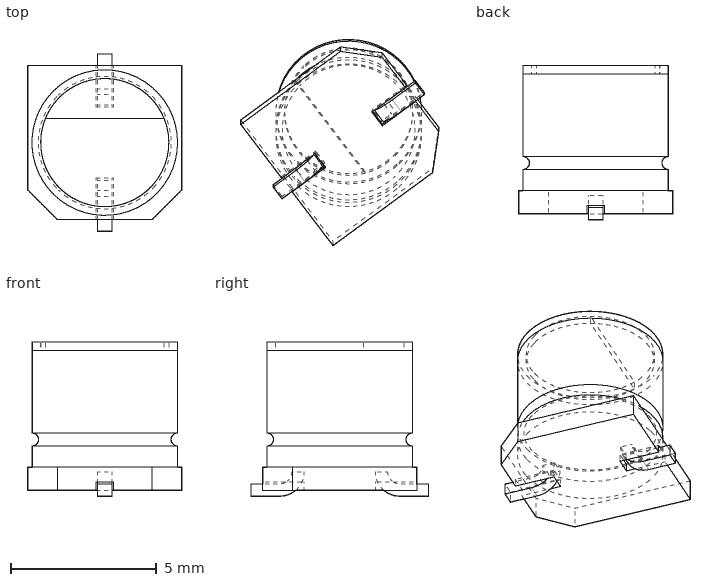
import cadquery as cq
import math

total_length = 6.1
total_height = 5.31

base_side = 5.3
base_bottom = 0.2
base_top = 1.0
corner_chamfer = 1.025

can_radius = 5.0 / 2
rim_height = 0.3
core_radius = 4.405 / 2
groove_radius = 0.22
groove_middle = 1.95

mark_edge = 0.825

lead_width = 0.51
lead_thickness = 0.43
foot_length = 0.99
bend_outer_radius = 0.84
bend_inner_radius = bend_outer_radius - lead_thickness

slot_width = 0.6
slot_top = 0.49

lead_end = total_length / 2
bend_start = lead_end - foot_length
bend_end = bend_start - bend_outer_radius
rim_bottom = total_height - rim_height
lead_angles = (0, 180)


def make_lead(angle):
    """Lead on the -Y side, turned about Z to its place."""
    diagonal = math.sqrt(0.5)
    outer_offset = bend_outer_radius * diagonal
    inner_offset = bend_inner_radius * diagonal
    return (
        cq.Workplane("YZ")
        .moveTo(-lead_end, 0)
        .lineTo(-bend_start, 0)
        .threePointArc(
            (-bend_start + outer_offset, bend_outer_radius - outer_offset),
            (-bend_end, bend_outer_radius),
        )
        .lineTo(-bend_end - lead_thickness, bend_outer_radius)
        .threePointArc(
            (-bend_start + inner_offset, bend_outer_radius - inner_offset),
            (-bend_start, lead_thickness),
        )
        .lineTo(-lead_end, lead_thickness)
        .close()
        .extrude(lead_width / 2, both=True)
        .rotate((0, 0, 0), (0, 0, 1), angle)
    )


def make_slot(angle):
    """Clearance around one lead, open to the side and underside of the base."""
    return (
        cq.Workplane("XY")
        .box(slot_width, lead_end - bend_end, slot_top, centered=(True, False, False))
        .translate((0, -lead_end, 0))
        .rotate((0, 0, 0), (0, 0, 1), angle)
    )


def make_base(leads):
    """Square plate with two cut corners, slotted and pocketed for the leads."""
    base = (
        cq.Workplane("XY")
        .workplane(offset=base_bottom)
        .rect(base_side, base_side)
        .extrude(base_top - base_bottom)
        .edges("|Z and <Y")
        .chamfer(corner_chamfer)
    )
    for angle in lead_angles:
        base = base.cut(make_slot(angle))
    for lead in leads:
        base = base.cut(lead)
    return base


def make_mark():
    """Segment of the top disc lying beyond the straight mark edge."""
    half_chord = math.sqrt(core_radius**2 - mark_edge**2)
    return (
        cq.Workplane("XY")
        .workplane(offset=rim_bottom)
        .moveTo(-half_chord, mark_edge)
        .threePointArc((0, core_radius), (half_chord, mark_edge))
        .close()
        .extrude(rim_height)
    )


def make_can(mark):
    """Turned can with a half-round groove, recessed for the polarity mark."""
    can = (
        cq.Workplane("XZ")
        .moveTo(0, base_top)
        .lineTo(can_radius, base_top)
        .lineTo(can_radius, groove_middle - groove_radius)
        .threePointArc(
            (can_radius - groove_radius, groove_middle),
            (can_radius, groove_middle + groove_radius),
        )
        .lineTo(can_radius, rim_bottom)
        .lineTo(core_radius, rim_bottom)
        .lineTo(core_radius, total_height)
        .lineTo(0, total_height)
        .close()
        .revolve(360, (0, 0, 0), (0, 1, 0))
    )
    return can.cut(mark)


def make_rim():
    """Ring seated on the shoulder at the top of the can."""
    return (
        cq.Workplane("XY")
        .workplane(offset=rim_bottom)
        .circle(can_radius)
        .circle(core_radius)
        .extrude(rim_height)
    )


leads = [make_lead(angle) for angle in lead_angles]
base = make_base(leads)
mark = make_mark()
can = make_can(mark)
rim = make_rim()

result = cq.Compound.makeCompound(
    [base.val(), can.val(), rim.val(), mark.val(), *[lead.val() for lead in leads]]
)